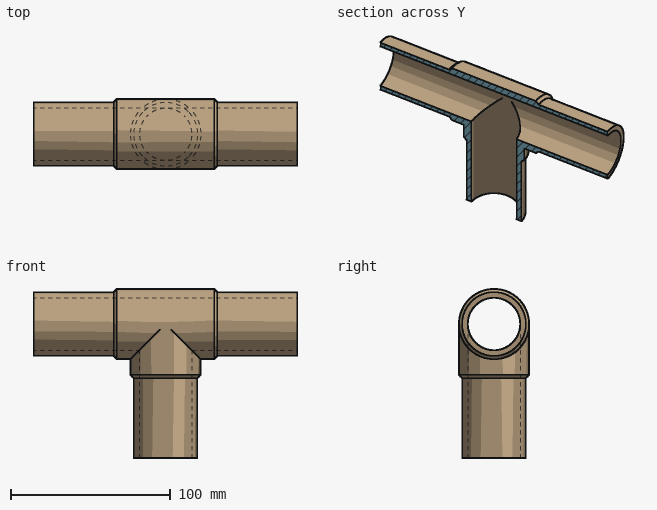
import cadquery as cq

run_length = 165.0
spigot_length = 50.0
spigot_diameter = 40.0
collar_diameter = 44.0
bore_diameter = 32.7
overall_height = 106.0

collar_chamfer = (collar_diameter - spigot_diameter) / 2
run_collar_length = run_length - 2 * spigot_length
branch_reach = overall_height - collar_diameter / 2
branch_collar_reach = branch_reach - spigot_length


def run_cylinder(diameter, length):
    """Cylinder along X, centred on the origin."""
    return cq.Workplane("YZ", origin=(-length / 2, 0, 0)).circle(diameter / 2).extrude(length)


def branch_cylinder(diameter, length):
    """Cylinder from the run axis down along -Z."""
    return cq.Workplane("XY").circle(diameter / 2).extrude(-length)


run_collar = run_cylinder(collar_diameter, run_collar_length).faces("<X or >X").chamfer(collar_chamfer)
branch_collar = branch_cylinder(collar_diameter, branch_collar_reach).faces("<Z").chamfer(collar_chamfer)

run_pipe = run_cylinder(spigot_diameter, run_length)
branch_pipe = branch_cylinder(spigot_diameter, branch_reach)

run_bore = run_cylinder(bore_diameter, run_length)
branch_bore = branch_cylinder(bore_diameter, branch_reach)

run = run_collar.union(run_pipe)
branch = branch_collar.union(branch_pipe)
result = run.union(branch).cut(run_bore).cut(branch_bore)